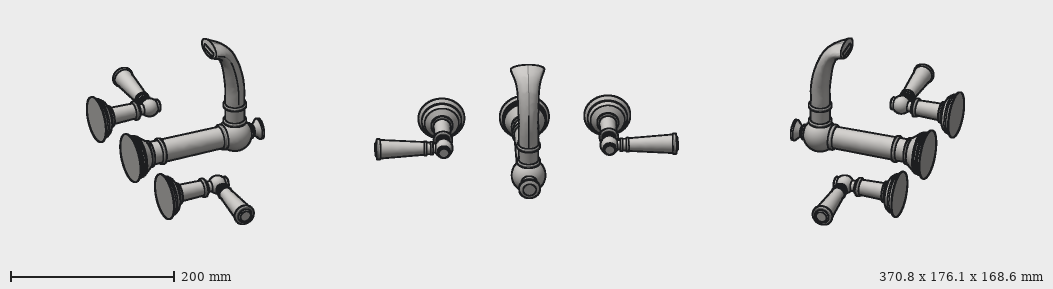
import cadquery as cq
import math



handle_spacing = 101.6
lever_reach = 185.42
spout_depth = 176.07

flange_thickness = 1.0

spout_base_radius = 30.3
spout_step_radius = 26.8
spout_band_radius = 26.1
spout_shelf_radius = 25.2
spout_stem_root_radius = 14.3
spout_stem_tip_radius = 13.4
spout_foot_collar = (23.2, 3.8, 16.6)
spout_ring = (38.4, 4.4, 16.3)
spout_head_collar = (120.8, 5.0, 15.8)
ball_depth = 140.5
ball_radius = 20.9
knob_collar = (157.2, 5.0, 9.7)
knob_neck_radius = 6.3
knob_radius = 13.0
knob_face_radius = 8.0
knob_flare_start = 165.0
knob_rim_start = 171.8
knob_rim_end = 174.4
spout_flare_top = 4.5
spout_step_top = 6.8
spout_band_top = 9.8
spout_shelf_top = 12.0

riser_radius = 12.0
riser_collars = ((17.4, 4.7, 14.2), (39.6, 4.7, 14.2))
nozzle_start = 43.0
nozzle_straight_end = 58.0
nozzle_sections = (
    (139.6, 74.0, 20.0, 11.8, 12.1),
    (132.7, 104.1, 42.6, 12.9, 10.7),
    (117.8, 124.6, 63.0, 16.9, 8.7),
    (111.9, 127.3, 69.0, 19.0, 8.7),
    (105.95, 129.9, 73.0, 20.8, 8.75),
)
slot_width = 26.5
slot_height = 5.0
slot_depth = 0.5
slot_drop = 2.5

handle_base_radius = 28.4
handle_band_radius = 24.3
handle_shelf_radius = 21.0
handle_foot_collar = (16.6, 3.4, 13.2)
handle_stem_root_radius = 10.6
handle_stem_tip_radius = 9.6
handle_head_collar = (50.2, 4.3, 11.6)
pivot_washer = (54.5, 2.2, 8.4)
pivot_radius = 6.5
handle_ball_depth = 71.6
handle_ball_radius = 11.3
cap_radius = 7.7
cap_edge = 83.0
cap_face_radius = 6.3
cap_top = 84.2
handle_flare_top = 5.2
handle_band_top = 7.5
handle_shelf_top = 12.0

lever_length = lever_reach - handle_spacing
lever_neck_radius = 5.8
lever_inner_collar = (13.0, 3.2, 8.2)
lever_sleeve_radius = 7.4
lever_ring = (20.6, 3.2, 8.8)
grip_start = 23.8
grip_start_radius = 8.0
grip_end_radius = 11.6
lever_flange = (77.4, 4.5, 12.7)
lever_button_radius = 9.0
lever_button_face_radius = 6.8
lever_button_bevel = 1.3

edge_round = 1.4


def turned(outline):
    """Solid of revolution about +Z; the outline lists (height, radius) points."""
    points = [(radius, height) for height, radius in outline]
    points = [(0, outline[0][0])] + points + [(0, outline[-1][0])]
    return cq.Workplane("XZ").polyline(points).close().revolve(360, (0, 0), (0, 1))


def collar(start, length, radius):
    """Disc on +Z with rounded edges."""
    disc = cq.Workplane("XY").workplane(offset=start).circle(radius).extrude(length)
    return disc.edges().fillet(edge_round)


def ball(height, radius):
    return cq.Workplane("XY").sphere(radius).translate((0, 0, height))


def fuse(parts):
    body = parts[0]
    for part in parts[1:]:
        body = body.union(part)
    return body


def wall_plane(x):
    """Plane on the wall at the given X, with its normal pointing outward along +Y."""
    return cq.Plane(origin=(x, 0, 0), xDir=(1, 0, 0), normal=(0, 1, 0))


def placed(body, plane):
    """Move a body built on the +Z axis so that it stands on the given plane."""
    return cq.Workplane(body.val().moved(cq.Location(plane)))


def spout_stem():
    """Escutcheon, tapered stem, ball and rear knob, all turned about one axis."""
    stem = turned([
        (0, spout_base_radius),
        (flange_thickness, spout_base_radius),
        (spout_flare_top, spout_step_radius),
        (spout_step_top, spout_step_radius),
        (spout_step_top, spout_band_radius),
        (spout_band_top, spout_band_radius),
        (spout_band_top, spout_shelf_radius),
        (spout_shelf_top, spout_shelf_radius),
        (spout_foot_collar[0], spout_foot_collar[2]),
        (spout_foot_collar[0], spout_stem_root_radius),
        (ball_depth, spout_stem_tip_radius),
    ])
    knob = turned([
        (ball_depth, knob_neck_radius),
        (knob_flare_start, knob_neck_radius),
        (knob_rim_start, knob_radius),
        (knob_rim_end, knob_radius),
        (spout_depth, knob_face_radius),
    ])
    sizes = (spout_foot_collar, spout_ring, spout_head_collar, knob_collar)
    collars = [collar(*size) for size in sizes]
    return fuse([stem, ball(ball_depth, ball_radius), knob] + collars)


def section_plane(section):
    """Plane of a nozzle section, with its normal pointing along the flow."""
    y, z, tilt, _, _ = section
    angle = math.radians(tilt)
    normal = (0, -math.sin(angle), math.cos(angle))
    return cq.Plane(origin=(0, y, z), xDir=(1, 0, 0), normal=normal)


def nozzle():
    """Curved nozzle that changes from a round riser to a wide oval mouth."""
    straight = [(ball_depth, z, 0.0, riser_radius, riser_radius) for z in (nozzle_start, nozzle_straight_end)]
    wires = []
    for section in straight + list(nozzle_sections):
        half_width, half_thickness = section[3:]
        wires.append(cq.Workplane(section_plane(section)).ellipse(half_width, half_thickness).val())
    body = cq.Workplane(cq.Solid.makeLoft(wires))
    mouth = cq.Workplane(section_plane(nozzle_sections[-1]))
    slot = mouth.center(0, -slot_drop).rect(slot_width, slot_height).extrude(-slot_depth)
    return body.cut(slot)


def riser():
    """Round riser with two collars, from the ball centre up to the nozzle."""
    tube = turned([(0, riser_radius), (nozzle_start, riser_radius)])
    body = fuse([tube] + [collar(*size) for size in riser_collars])
    return body.translate((0, ball_depth, 0))


def handle_post():
    """Escutcheon, stem, pivot, ball and cap, all turned about one axis."""
    stem = turned([
        (0, handle_base_radius),
        (flange_thickness, handle_base_radius),
        (handle_flare_top, handle_band_radius),
        (handle_band_top, handle_band_radius),
        (handle_shelf_top, handle_shelf_radius),
        (handle_foot_collar[0], handle_foot_collar[2]),
        (handle_foot_collar[0], handle_stem_root_radius),
        (handle_head_collar[0], handle_stem_tip_radius),
    ])
    pivot = turned([(handle_head_collar[0], pivot_radius), (handle_ball_depth, pivot_radius)])
    cap = turned([
        (handle_ball_depth, cap_radius),
        (cap_edge, cap_radius),
        (cap_top, cap_face_radius),
    ])
    washer = turned([(pivot_washer[0], pivot_washer[2]), (sum(pivot_washer[:2]), pivot_washer[2])])
    collars = [collar(*size) for size in (handle_foot_collar, handle_head_collar)]
    return fuse([stem, pivot, washer, ball(handle_ball_depth, handle_ball_radius), cap] + collars)


def lever():
    """Lever turned about +Z, starting at the ball centre."""
    flange_end = lever_flange[0] + lever_flange[1]
    bar = turned([
        (0, lever_neck_radius),
        (lever_inner_collar[0], lever_neck_radius),
        (lever_inner_collar[0], lever_sleeve_radius),
        (lever_ring[0], lever_sleeve_radius),
        (grip_start, grip_start_radius),
        (lever_flange[0], grip_end_radius),
        (flange_end, lever_button_radius),
        (lever_length - lever_button_bevel, lever_button_radius),
        (lever_length, lever_button_face_radius),
    ])
    collars = [collar(*size) for size in (lever_inner_collar, lever_ring, lever_flange)]
    return fuse([bar] + collars)


def handle(side):
    """Handle with its lever pointing away from the spout; side is -1 or +1."""
    post_x = side * handle_spacing
    lever_origin = (post_x, handle_ball_depth, 0)
    lever_plane = cq.Plane(origin=lever_origin, xDir=(0, 1, 0), normal=(side, 0, 0))
    return placed(handle_post(), wall_plane(post_x)).union(placed(lever(), lever_plane))


spout = placed(spout_stem(), wall_plane(0)).union(riser()).union(nozzle())
handles = [handle(side) for side in (-1, 1)]

result = cq.Compound.makeCompound([spout.val(), *[body.val() for body in handles]])